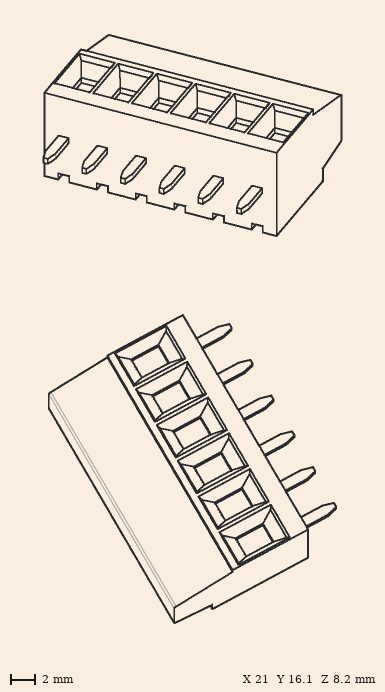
import cadquery as cq


pole_count = 6
length = 21.0
pitch = length / pole_count
height = 8.2
depth = 12.6
top_ledge_depth = 7.1
top_step = 0.52
base_depth = 8.99
base_step = 1.24
rear_top = 6.36
rear_bottom = 1.83
rear_edge_radius = 0.25

pocket_center_y = 4.05
mouth_width = 3.2
mouth_length = 4.83
lip_length = 4.5
lip_depth = 0.5
well_width = 1.78
well_length = 2.56
funnel_depth = 1.5
pocket_depth = 2.0

pin_width = 0.9
pin_thickness = 0.5
pin_length = 3.5
pin_tip_width = 0.4
pin_taper_length = 0.95

notch_width = 0.99
notch_height = 0.6
notch_depth = 1.0

pole_positions = [(i - (pole_count - 1) / 2) * pitch for i in range(pole_count)]


def make_housing():
    """Side profile extruded along X, with the two rear edges rounded."""
    profile = [
        (0, 0),
        (base_depth, 0),
        (base_depth, base_step),
        (depth, rear_bottom),
        (depth, rear_top),
        (top_ledge_depth, height - top_step),
        (top_ledge_depth, height),
        (0, height),
    ]
    housing = cq.Workplane("YZ").polyline(profile).close().extrude(length / 2, both=True)
    return housing.faces(">Y").edges("|X").fillet(rear_edge_radius)


def symmetric_section(plane, levels, span):
    """Extrude a section given as (full width, depth below the top face) levels."""
    right_side = [(width / 2, height - below) for width, below in levels]
    left_side = [(-x, z) for x, z in reversed(right_side)]
    return cq.Workplane(plane).polyline(right_side + left_side).close().extrude(span / 2, both=True)


def make_pocket():
    """Funnel with a steep lip at front and rear, ending in a straight-sided well."""
    across = symmetric_section(
        "XZ",
        [(mouth_width, 0), (well_width, funnel_depth), (well_width, pocket_depth)],
        mouth_length,
    )
    along = symmetric_section(
        "YZ",
        [
            (mouth_length, 0),
            (lip_length, lip_depth),
            (well_length, funnel_depth),
            (well_length, pocket_depth),
        ],
        mouth_width,
    )
    return across.intersect(along).translate((0, pocket_center_y, 0))


def make_pin():
    """Flat pin at mid height with a tapered tip."""
    outline = [
        (pin_width / 2, 0),
        (pin_width / 2, pin_taper_length - pin_length),
        (pin_tip_width / 2, -pin_length),
        (-pin_tip_width / 2, -pin_length),
        (-pin_width / 2, pin_taper_length - pin_length),
        (-pin_width / 2, 0),
    ]
    pin = cq.Workplane("XY").polyline(outline).close().extrude(pin_thickness / 2, both=True)
    return pin.translate((0, 0, height / 2))


def make_notch():
    """Rectangular notch open to the front and to the base."""
    return cq.Workplane("XY").box(
        notch_width, notch_depth, notch_height, centered=(True, False, False)
    )


result = make_housing()
pocket = make_pocket()
notch = make_notch()
pin = make_pin()
for x in pole_positions:
    result = result.cut(pocket.translate((x, 0, 0)))
    result = result.cut(notch.translate((x, 0, 0)))
    result = result.union(pin.translate((x, 0, 0)))